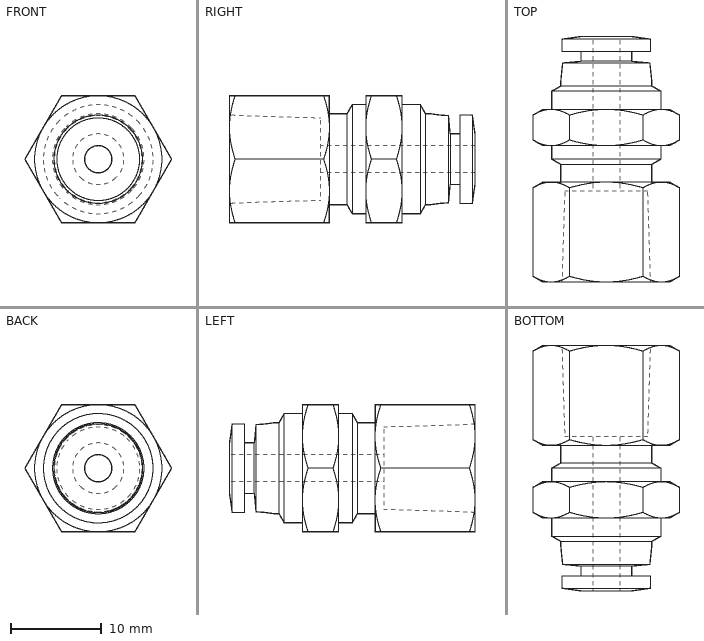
import cadquery as cq
import math

total_length = 27.05

hex_across_flats = 14.0
hex_chamfer_angle = 30.0
body_hex_length = 11.0
nut_start = 15.0
nut_length = 4.0

thread_mouth_radius = 4.87
thread_depth = 10.0
thread_taper = 1 / 32
passage_radius = 1.5

stem_radius = 5.03
bulkhead_radius = 6.03
bulkhead_chamfer_length = 0.57
bulkhead_start = 12.95
bulkhead_end = 21.59

collar_land_length = 0.5
collar_tip_radius = 4.81
collar_tip_y = 24.13
collar_face_y = 24.32

button_neck_radius = 2.8
button_radius = 4.9
button_start = 25.37
button_rim_y = 26.75


def chamfered_hex(start, length):
    """Hexagonal prism along Y with conical corner chamfers on both ends."""
    apothem = hex_across_flats / 2
    corner_radius = apothem / math.cos(math.radians(30))
    drop = (corner_radius - apothem) * math.tan(math.radians(hex_chamfer_angle))
    end = start + length
    prism = (
        cq.Workplane("XZ", origin=(0, start, 0))
        .polygon(6, 2 * corner_radius)
        .extrude(-length)
    )
    envelope = revolve_outline([
        (0, start),
        (apothem, start),
        (corner_radius, start + drop),
        (corner_radius, end - drop),
        (apothem, end),
        (0, end),
    ])
    return prism.intersect(envelope)


def revolve_outline(points):
    """Solid of revolution about Y from (radius, y) points."""
    return cq.Workplane("XY").polyline(points).close().revolve(360, (0, 0, 0), (0, 1, 0))


def turned_stem():
    """Stem, bulkhead thread, collar and release button as one turned shape."""
    return revolve_outline([
        (0, 0),
        (stem_radius, 0),
        (stem_radius, bulkhead_start),
        (bulkhead_radius, bulkhead_start + bulkhead_chamfer_length),
        (bulkhead_radius, bulkhead_end - bulkhead_chamfer_length),
        (stem_radius, bulkhead_end),
        (stem_radius, bulkhead_end + collar_land_length),
        (collar_tip_radius, collar_tip_y),
        (button_neck_radius, collar_face_y),
        (button_neck_radius, button_start),
        (button_radius, button_start),
        (button_radius, button_rim_y),
        (button_neck_radius, total_length),
        (0, total_length),
    ])


def bores():
    """Tapered thread bore leading into the straight through passage."""
    thread_end_radius = thread_mouth_radius - thread_depth * thread_taper
    return revolve_outline([
        (0, 0),
        (thread_mouth_radius, 0),
        (thread_end_radius, thread_depth),
        (passage_radius, thread_depth),
        (passage_radius, total_length),
        (0, total_length),
    ])


body_hex = chamfered_hex(0, body_hex_length)
nut = chamfered_hex(nut_start, nut_length)
result = turned_stem().union(body_hex).union(nut).cut(bores())